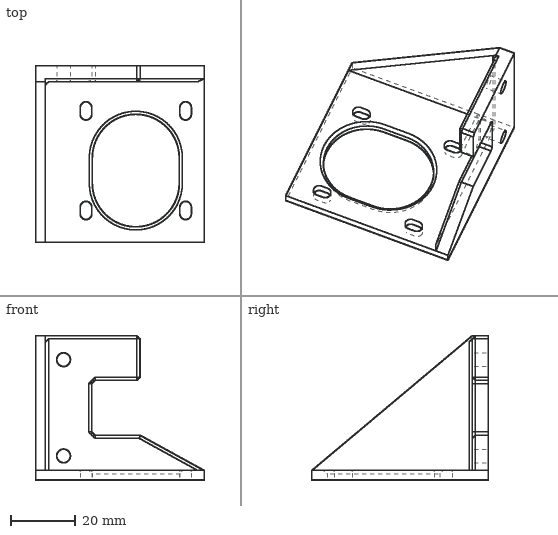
import cadquery as cq

width = 52.5
depth = 55.0
height = 45.0

thickness = 3.0
back_thickness = 5.0
chamfer = 1.0
back_front_y = depth - back_thickness

arm_end_x = 32.5
notch_x = 17.5
notch_mid_z = 22.55
notch_height = 17.05
notch_bottom_z = notch_mid_z - notch_height / 2
notch_top_z = notch_mid_z + notch_height / 2
ramp_slope = (width - arm_end_x) / (notch_bottom_z - thickness)
ramp_foot_x = width + ramp_slope * thickness

back_hole_diameter = 4.2
back_hole_x = 8.7
back_hole_spacing = 30.0

opening_x = 31.2
opening_y = 22.35
opening_width = 27.0
opening_straight = 8.0

slot_mid_y = 25.4
slot_spacing = 31.0
slot_width = 3.5
slot_length = 5.6


def box(x_size, y_size, z_size):
    return cq.Workplane("XY").box(x_size, y_size, z_size, centered=False)


def make_back_plate():
    """C-shaped plate with a ramp; its front edges and square corners are chamfered."""
    outline = [
        (0, 0),
        (ramp_foot_x, 0),
        (arm_end_x, notch_bottom_z),
        (notch_x, notch_bottom_z),
        (notch_x, notch_top_z),
        (arm_end_x, notch_top_z),
        (arm_end_x, height),
        (0, height),
    ]
    plate = cq.Workplane("XZ", origin=(0, depth, 0)).polyline(outline).close().extrude(back_thickness)

    edges = plate.edges(cq.selectors.BoxSelector(
        (notch_x - chamfer, 0, notch_bottom_z - chamfer),
        (arm_end_x + chamfer, depth, height + chamfer),
    )).edges("|Y").vals()
    ramp_top = cq.Vector(arm_end_x, depth - back_thickness / 2, notch_bottom_z)
    corner_edges = [edge for edge in edges if (edge.Center() - ramp_top).Length > chamfer]

    front_edges = plate.faces("<Y").edges("not(<Z or <X)").vals()
    plate = plate.newObject(corner_edges + front_edges).chamfer(chamfer)
    return plate.intersect(box(width, depth, height))


def make_side_wall():
    """Triangular gusset sloping from the back plate down to the front of the floor."""
    profile = [(0, 0), (depth, 0), (depth, height), (back_front_y, height), (0, thickness)]
    return cq.Workplane("YZ").polyline(profile).close().extrude(thickness)


def make_corner_strip():
    """Bevelled strip filling the corner of wall and back plate, topped by the plate chamfer."""
    strip = (
        cq.Workplane("XY")
        .moveTo(thickness, back_front_y - chamfer)
        .lineTo(thickness + chamfer, back_front_y)
        .lineTo(thickness, back_front_y)
        .close()
        .extrude(height)
    )
    below_bevel = (
        cq.Workplane("YZ")
        .moveTo(back_front_y - chamfer, 0)
        .lineTo(back_front_y, 0)
        .lineTo(back_front_y, height - chamfer)
        .lineTo(back_front_y - chamfer, height - 2 * chamfer)
        .close()
        .extrude(width)
    )
    return strip.intersect(below_bevel)


def cut_back_holes(body):
    half_spacing = back_hole_spacing / 2
    centers = [(back_hole_x, notch_mid_z + side * half_spacing) for side in (-1, 1)]
    holes = cq.Workplane("XZ", origin=(0, depth, 0)).pushPoints(centers)
    return body.cut(holes.circle(back_hole_diameter / 2).extrude(back_thickness))


def make_floor():
    """Floor plate with an oblong opening chamfered around its upper rim."""
    opening = (
        cq.Workplane("XY")
        .center(opening_x, opening_y)
        .slot2D(opening_straight + opening_width, opening_width, 90)
        .extrude(thickness)
    )
    floor = box(width, depth, thickness).cut(opening)
    rim = floor.faces(">Z").val().innerWires()[0]
    return floor.newObject(rim.Edges()).chamfer(chamfer)


def cut_slots(body):
    slots = (
        cq.Workplane("XY")
        .center(opening_x, slot_mid_y)
        .rarray(slot_spacing, slot_spacing, 2, 2)
        .slot2D(slot_length, slot_width, 90)
        .extrude(thickness)
    )
    return body.cut(slots)


result = make_floor()
result = result.union(make_back_plate()).union(make_side_wall()).union(make_corner_strip())
result = cut_back_holes(result)
result = cut_slots(result)